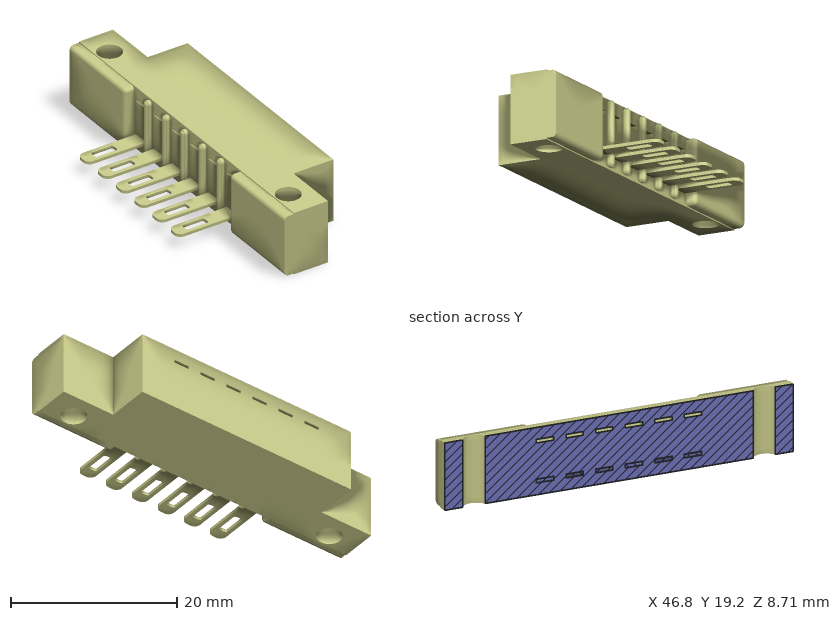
import cadquery as cq
import math

housing_length = 46.79
housing_height = 8.71
body_width = 31.75
ear_depth = 4.93
total_depth = 10.70

mount_hole_diameter = 3.25
mount_hole_spacing = 38.9
mount_hole_y = 1.8

pad_gap = 22.7
pad_depth = 1.36
pad_inset = 0.15
pad_fillet = 0.58
rib_width = 1.04
rib_depth = 0.80
rib_inset = 0.20

contact_count = 6
contact_pitch = 3.96
contact_width = 2.26
contact_thickness = 0.40
contact_row_offset = 2.56
tail_length = 8.48
tail_corner_radius = 0.85
eye_width = 1.17
eye_length = 3.25
eye_to_tip = 3.15
eye_end_rise = 0.15

pad_height = housing_height - 2 * pad_inset
rib_height = housing_height - 2 * rib_inset
rib_radius = rib_width / 2
contact_xs = [(i - (contact_count - 1) / 2) * contact_pitch for i in range(contact_count)]
rib_xs = [x + contact_pitch / 2 for x in contact_xs[:-1]]


def make_block(width, y_start, y_end, height, x=0, z=0):
    """Box centred on (x, z) that spans y_start to y_end."""
    depth = y_end - y_start
    return cq.Workplane("XY").box(width, depth, height).translate((x, y_start + depth / 2, z))


def make_pad(side):
    """Raised pad at one end of the rear face; the outer end stays square with the ear."""
    pad_length = (housing_length - pad_gap) / 2
    centre_x = side * (pad_gap + pad_length) / 2
    pad = make_block(pad_length, -pad_depth, 0, pad_height, centre_x)
    inner_side = "<X" if side > 0 else ">X"
    return pad.edges(f"(<Y and (|X or {inner_side})) or ({inner_side} and |Y)").fillet(pad_fillet)


def make_rib(x):
    """Upright rib with a half-round front and ball ends."""
    axis_y = rib_radius - rib_depth
    straight_end = rib_height / 2 - rib_radius
    web = cq.Workplane("XZ").slot2D(rib_height, rib_width, 90).extrude(-axis_y)
    diagonal = rib_radius * math.sqrt(0.5)
    nose = (
        cq.Workplane("YZ")
        .moveTo(0, -rib_height / 2)
        .threePointArc((-diagonal, -straight_end - diagonal), (-rib_radius, -straight_end))
        .lineTo(-rib_radius, straight_end)
        .threePointArc((-diagonal, straight_end + diagonal), (0, rib_height / 2))
        .close()
        .revolve(360, (0, 0), (0, 1))
    )
    return web.union(nose).translate((x, axis_y, 0))


def make_contact_slot(x, z):
    """Volume of one contact slot, running through the full depth of the housing."""
    return make_block(contact_width, 0, total_depth, contact_thickness, x, z)


def make_housing():
    housing = make_block(housing_length, 0, ear_depth, housing_height)
    housing = housing.union(make_block(body_width, 0, total_depth, housing_height))
    for side in (-1, 1):
        housing = housing.union(make_pad(side))
    for x in rib_xs:
        housing = housing.union(make_rib(x))
    mount_holes = (
        cq.Workplane("XY")
        .pushPoints([(side * mount_hole_spacing / 2, mount_hole_y) for side in (-1, 1)])
        .circle(mount_hole_diameter / 2)
        .extrude(housing_height, both=True)
    )
    housing = housing.cut(mount_holes)
    for x in contact_xs:
        for z in (-contact_row_offset, contact_row_offset):
            housing = housing.cut(make_contact_slot(x, z))
    return housing


def make_contact(x):
    """Flat contact that fills its slot, with a rounded solder-eye tail behind the housing."""
    blade = make_block(contact_width, -tail_length, total_depth, contact_thickness)
    blade = blade.edges("|Z and <Y").fillet(tail_corner_radius)
    eye_y = eye_to_tip - tail_length
    eye_side_length = eye_length - 2 * eye_end_rise
    eye = (
        cq.Workplane("XY")
        .moveTo(-eye_width / 2, -eye_side_length / 2)
        .threePointArc((0, -eye_length / 2), (eye_width / 2, -eye_side_length / 2))
        .lineTo(eye_width / 2, eye_side_length / 2)
        .threePointArc((0, eye_length / 2), (-eye_width / 2, eye_side_length / 2))
        .close()
        .extrude(contact_thickness, both=True)
        .translate((0, eye_y, 0))
    )
    return blade.cut(eye).translate((x, 0, -contact_row_offset))


housing = make_housing()
contacts = [make_contact(x) for x in contact_xs]

result = cq.Compound.makeCompound([housing.val(), *[contact.val() for contact in contacts]])